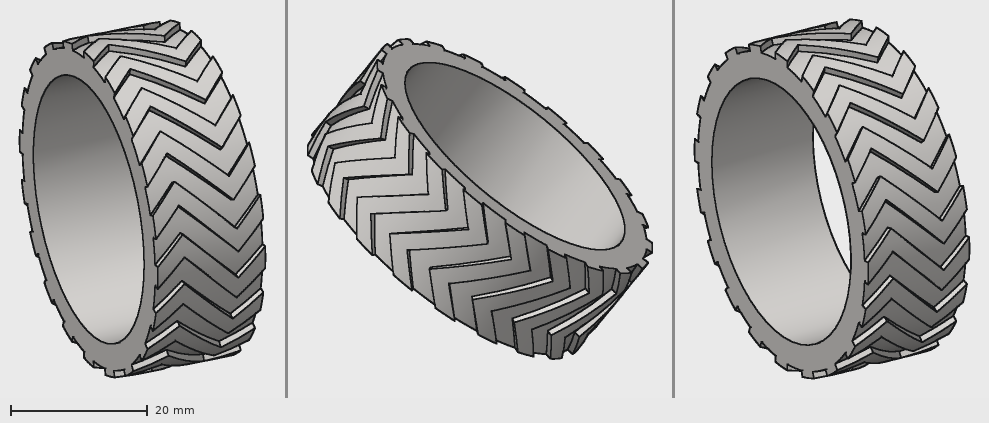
import cadquery as cq
import math

outer_diameter = 50.0
bore_diameter = 40.0
width = 17.2
groove_depth = 1.0
groove_count = 20

outer_radius = outer_diameter / 2
bore_radius = bore_diameter / 2
floor_radius = outer_radius - groove_depth
pitch_angle = 360 / groove_count

leg_length = width / 4
leg_twist = math.degrees(leg_length / outer_radius)

groove_angle = leg_twist
lug_angle = pitch_angle - groove_angle

overlap = 0.5


def ring(outer, inner):
    """Ring centred on the origin with its axis along Y."""
    return cq.Workplane("XZ").circle(outer).circle(inner).extrude(width / 2, both=True)


def point_at(radius, angle):
    """Point in the ring's plane, with the angle in degrees from the X axis."""
    return (radius * math.cos(math.radians(angle)), radius * math.sin(math.radians(angle)))


def lug_leg(start_y, start_angle, length, twist):
    """Ring sector twisted about the ring axis while it runs from start_y towards -Y."""
    inner = floor_radius - overlap
    outer = outer_radius + overlap
    low = start_angle - lug_angle / 2
    high = start_angle + lug_angle / 2
    return (
        cq.Workplane("XZ", origin=(0, start_y, 0))
        .moveTo(*point_at(inner, low))
        .lineTo(*point_at(outer, low))
        .threePointArc(point_at(outer, start_angle), point_at(outer, high))
        .lineTo(*point_at(inner, high))
        .threePointArc(point_at(inner, start_angle), point_at(inner, low))
        .close()
        .twistExtrude(length, twist)
    )


def zigzag_lug():
    """One tread lug: a short leg, a double-length leg back, and a short leg, trimmed to the rim."""
    first_bend = width / 2 - leg_length
    second_bend = -first_bend
    blank = (
        lug_leg(width / 2, 0, leg_length, -leg_twist)
        .union(lug_leg(first_bend, -leg_twist, 2 * leg_length, 2 * leg_twist))
        .union(lug_leg(second_bend, leg_twist, leg_length, -leg_twist))
    )
    return blank.intersect(ring(outer_radius, floor_radius - overlap / 2)).clean()


lug = zigzag_lug()
result = ring(floor_radius, bore_radius)
for index in range(groove_count):
    result = result.union(lug.rotate((0, 0, 0), (0, 1, 0), index * pitch_angle))